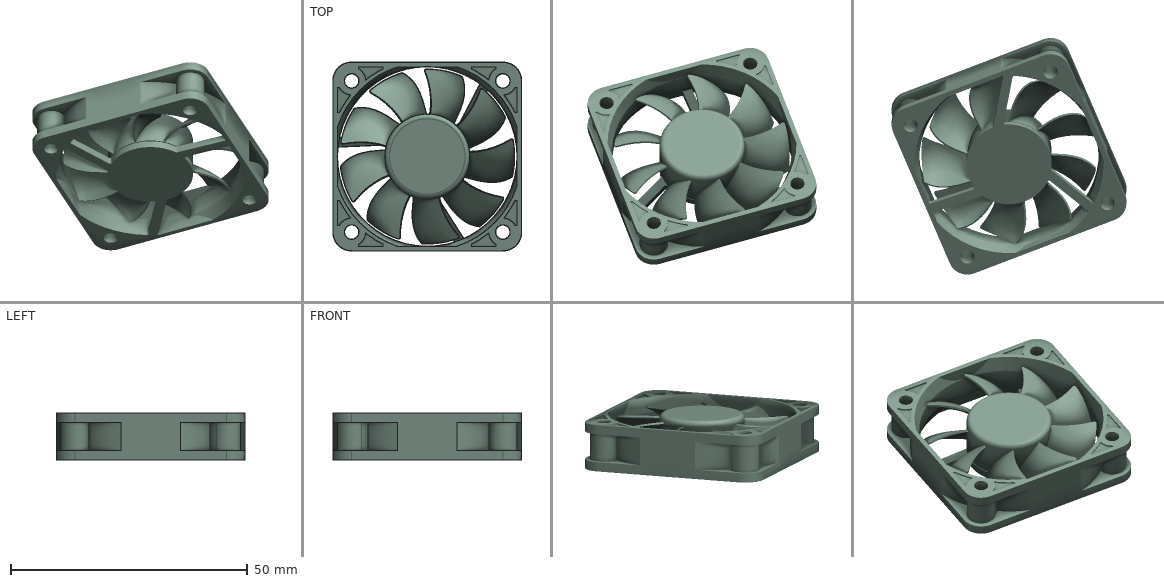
import cadquery as cq
import math

frame_size = 40.0
frame_height = 10.0
corner_radius = 4.0
flange_thickness = 2.0
bore_radius = 19.0
flare_radius = 20.0
flare_depth = 3.0
wall_radius = 20.95
hole_offset = 16.0
hole_diameter = 3.0
post_radius = 3.0

pocket_depth = 0.4
pocket_outer = 19.0
pocket_start = 9.3
pocket_end = 14.55
pocket_duct_radius = 20.8
pocket_post_radius = 2.95

strut_count = 3
strut_height = 1.6
strut_width = 2.0
strut_offset = 3.8
strut_angle = 182.5
strut_fillet = 0.4
hub_radius = 9.0

hub_bottom = 1.8
hub_fillet = 1.0
blade_count = 9
blade_angle = 75.0
blade_top = 8.8
blade_bottom = 2.0
blade_thickness = 0.4
blade_tip_radius = 18.5
blade_root_radius = 8.4
leading_corner_radius = 0.4
blade_sections = [
    (7.6, 1.55, -3.55, 0.6),
    (12.0, 2.3, -4.3, 0.8),
    (15.6, 3.95, -4.05, 1.0),
    (19.2, 6.75, -1.9, 1.0),
]


def cylinder(radius, bottom, top):
    return cq.Workplane("XY").workplane(offset=bottom).circle(radius).extrude(top - bottom)


def duct_opening():
    """Round bore, flared at both ends and clipped by the square of the bore's own width."""
    half_profile = [
        (0, 0),
        (flare_radius, 0),
        (bore_radius, flare_depth),
        (bore_radius, frame_height - flare_depth),
        (flare_radius, frame_height),
        (0, frame_height),
    ]
    flared_bore = cq.Workplane("XZ").polyline(half_profile).close().revolve(360, (0, 0), (0, 1))
    clip = cq.Workplane("XY").rect(2 * bore_radius, 2 * bore_radius).extrude(frame_height)
    return flared_bore.intersect(clip)


def side_recesses():
    """Space between the flanges, outside the duct wall and the screw posts."""
    recess_top = frame_height - flange_thickness
    recess = (
        cq.Workplane("XY").workplane(offset=flange_thickness)
        .rect(frame_size, frame_size).extrude(recess_top - flange_thickness)
        .cut(cylinder(wall_radius, flange_thickness, recess_top))
    )
    posts = (
        cq.Workplane("XY").workplane(offset=flange_thickness)
        .rect(2 * hole_offset, 2 * hole_offset, forConstruction=True).vertices()
        .circle(post_radius).extrude(recess_top - flange_thickness)
    )
    web_length = hole_offset * math.sqrt(2)
    web = (
        cq.Workplane("XY").workplane(offset=flange_thickness)
        .center(-hole_offset / 2, -hole_offset / 2)
        .transformed(rotate=(0, 0, 45))
        .rect(web_length, 2 * post_radius).extrude(recess_top - flange_thickness)
    )
    return recess.cut(posts).cut(web)


def corner_pockets():
    """Eight shallow pockets, two beside each screw hole."""
    floor = frame_height - pocket_depth
    pocket = (
        cq.Workplane("XY").workplane(offset=floor)
        .moveTo(pocket_start, hole_offset).lineTo(pocket_end, hole_offset)
        .lineTo(pocket_end, pocket_outer).lineTo(pocket_start, pocket_outer).close()
        .extrude(pocket_depth)
        .cut(cylinder(pocket_duct_radius, floor, frame_height))
        .cut(cylinder(pocket_post_radius, floor, frame_height).translate((hole_offset, hole_offset, 0)))
    )
    pair = pocket.add(pocket.mirror("YZ")).combine()
    pockets = pair
    for quarter in range(1, 4):
        pockets = pockets.union(pair.rotate((0, 0, 0), (0, 0, 1), 90 * quarter))
    return pockets


def motor_base():
    """Round base under the hub with struts that run out to the duct wall beside the axis."""
    base = cylinder(hub_radius, 0, strut_height)
    strut = (
        cq.Workplane("XY").center(wall_radius / 2, -strut_offset)
        .rect(wall_radius, strut_width).extrude(strut_height)
    )
    for index in range(strut_count):
        angle = strut_angle + index * 360 / strut_count
        base = base.union(strut.rotate((0, 0, 0), (0, 0, 1), angle))
    reach = bore_radius / 2
    base_box = cq.selectors.BoxSelector((-reach, -reach, 0), (reach, reach, strut_height))
    base = base.edges("|Z").edges(base_box).fillet(strut_fillet)
    duct = cylinder(wall_radius, 0, strut_height).intersect(duct_opening())
    return base.intersect(duct)


def round_strut_ends(body):
    """Round the corner between the duct wall and the side of each strut that is nearer the axis."""
    joint_radius = (bore_radius + flare_radius) / 2
    lead = math.degrees(math.asin((strut_offset - strut_width / 2) / joint_radius))
    for index in range(strut_count):
        angle = math.radians(strut_angle - lead + index * 360 / strut_count)
        joint = cq.selectors.NearestToPointSelector(
            (joint_radius * math.cos(angle), joint_radius * math.sin(angle), strut_height / 2)
        )
        body = body.edges(joint).fillet(strut_fillet)
    return body


def make_frame():
    body = (
        cq.Workplane("XY").rect(frame_size, frame_size).extrude(frame_height)
        .edges("|Z").fillet(corner_radius)
    )
    body = body.cut(side_recesses()).cut(duct_opening()).cut(corner_pockets())
    holes = (
        cq.Workplane("XY").rect(2 * hole_offset, 2 * hole_offset, forConstruction=True)
        .vertices().circle(hole_diameter / 2).extrude(frame_height)
    )
    body = body.cut(holes).union(motor_base())
    return round_strut_ends(body)


def blade_section(distance, leading, trailing, bulge):
    """Closed wire of one blade section, in the plane at this distance along +X."""
    run = leading - trailing
    rise = blade_top - blade_bottom
    chord = math.hypot(run, rise)
    arc_radius = (chord ** 2 / 4 + bulge ** 2) / (2 * bulge)
    out_y = -rise / chord
    out_z = run / chord
    centre_y = (leading + trailing) / 2 - (arc_radius - bulge) * out_y
    centre_z = (blade_top + blade_bottom) / 2 - (arc_radius - bulge) * out_z
    upper = [
        (leading, blade_top),
        (centre_y + arc_radius * out_y, centre_z + arc_radius * out_z),
        (trailing, blade_bottom),
    ]
    shrink = 1 - blade_thickness / arc_radius
    lower = [(centre_y + shrink * (y - centre_y), centre_z + shrink * (z - centre_z)) for y, z in upper]
    return (
        cq.Workplane("YZ", origin=(distance, 0, 0))
        .moveTo(*upper[0])
        .threePointArc(upper[1], upper[2])
        .lineTo(*lower[2])
        .threePointArc(lower[1], lower[0])
        .close().val()
    )


def make_blade():
    wires = [blade_section(*section) for section in blade_sections]
    blade = cq.Workplane(cq.Solid.makeLoft(wires))
    tip_leading = blade_sections[-1][1]
    ring = cylinder(blade_tip_radius, hub_bottom, blade_top)
    ring = ring.cut(cylinder(blade_root_radius, hub_bottom, blade_top))
    blade = blade.intersect(ring)
    leading_corner = cq.selectors.NearestToPointSelector((blade_tip_radius, tip_leading, blade_top))
    return blade.edges(leading_corner).fillet(leading_corner_radius)


def make_impeller():
    impeller = cylinder(hub_radius, hub_bottom, frame_height).faces(">Z").edges().fillet(hub_fillet)
    blade = make_blade()
    for index in range(blade_count):
        angle = blade_angle + index * 360 / blade_count
        impeller = impeller.union(blade.rotate((0, 0, 0), (0, 0, 1), angle))
    return impeller


frame = make_frame()
impeller = make_impeller()
result = cq.Compound.makeCompound([frame.val(), impeller.val()])